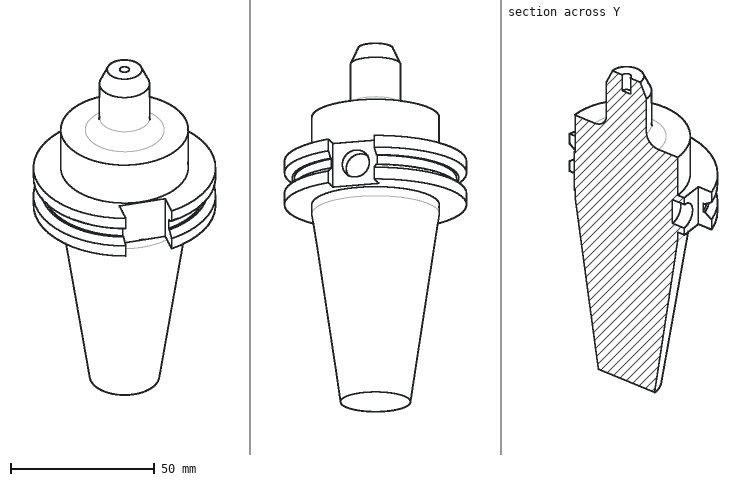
import cadquery as cq

total_height = 128.6
taper_height = 68.4
neck_height = 3.2
flange_height = 15.8
collar_height = 16.0
tip_height = 5.9
flange_bottom = taper_height + neck_height
flange_middle = flange_bottom + flange_height / 2
flange_top = flange_bottom + flange_height
collar_top = flange_top + collar_height
tip_bottom = total_height - tip_height

taper_small_radius = 12.2
body_radius = 22.2
flange_radius = 31.8
pin_radius = 8.7
tip_radius = 6.0
pin_fillet = 5.0

channel_floor_radius = 28.3
channel_width = 3.5
groove_root_radius = 29.0
groove_mouth_width = 7.3

slot_width = 16.6
deep_slot_floor = 22.6
shallow_slot_floor = 25.0

side_hole_diameter = 9.8
side_hole_depth = 5.0
tip_hole_diameter = 3.3
tip_hole_depth = 2 * tip_hole_diameter


def turned_body():
    """Taper, neck, flange, collar and pin revolved around Z, with a fillet at the pin root."""
    return (
        cq.Workplane("XZ")
        .lineTo(taper_small_radius, 0)
        .lineTo(body_radius, taper_height)
        .lineTo(body_radius, flange_bottom)
        .lineTo(flange_radius, flange_bottom)
        .lineTo(flange_radius, flange_top)
        .lineTo(body_radius, flange_top)
        .lineTo(body_radius, collar_top)
        .lineTo(pin_radius + pin_fillet, collar_top)
        .radiusArc((pin_radius, collar_top + pin_fillet), pin_fillet)
        .lineTo(pin_radius, tip_bottom)
        .lineTo(tip_radius, total_height)
        .lineTo(0, total_height)
        .close()
        .revolve(360, (0, 0), (0, 1))
    )


def flange_groove():
    """V-groove and root channel as one ring, centred on the flange height."""
    return (
        cq.Workplane("XZ", origin=(0, 0, flange_middle))
        .moveTo(channel_floor_radius, -channel_width / 2)
        .lineTo(groove_root_radius, -channel_width / 2)
        .lineTo(flange_radius, -groove_mouth_width / 2)
        .lineTo(flange_radius, groove_mouth_width / 2)
        .lineTo(groove_root_radius, channel_width / 2)
        .lineTo(channel_floor_radius, channel_width / 2)
        .close()
        .revolve(360, (0, 0), (0, 1))
    )


def drive_slot(floor_distance, side):
    """Block that opens the flange outwards from floor_distance; side is +1 or -1 along X."""
    return (
        cq.Workplane("XY")
        .workplane(offset=flange_bottom)
        .center(side * (floor_distance + flange_radius / 2), 0)
        .rect(flange_radius, slot_width)
        .extrude(flange_height)
    )


def side_hole():
    """Blind hole running in +X from the floor of the shallow slot."""
    return (
        cq.Workplane("YZ", origin=(-shallow_slot_floor, 0, flange_middle))
        .circle(side_hole_diameter / 2)
        .extrude(side_hole_depth)
    )


def tip_hole():
    """Blind hole running down from the end of the pin."""
    return (
        cq.Workplane("XY", origin=(0, 0, total_height))
        .circle(tip_hole_diameter / 2)
        .extrude(-tip_hole_depth)
    )


result = (
    turned_body()
    .cut(flange_groove())
    .cut(drive_slot(shallow_slot_floor, -1))
    .cut(drive_slot(deep_slot_floor, 1))
    .cut(side_hole())
    .cut(tip_hole())
)